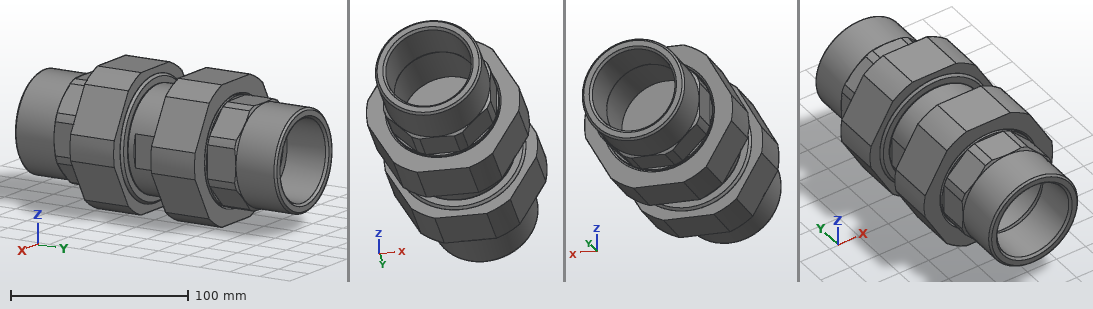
import cadquery as cq
import math

total_length = 174.0
nut_inner_y = 12.4
nut_outer_y = 41.5
nut_lip = 7.0
collar_length = 7.0
lip_y = nut_outer_y - nut_lip
joint_y = lip_y - collar_length

nut_flats = 82.8
nut_round_diameter = 88.0
nut_hole_diameter = 64.4
nut_hole_chamfer = 1.0
thread_diameter = 74.8

grip_diameter = 64.4
neck_diameter = 64.0
flats_width = 61.3
body_flat_start_y = -6.3
body_flat_end_y = 9.7
shoulder_y = 10.8
thread_chamfer = 1.4
body_neck_length = 0.5

spout_diameter = 61.0
spout_length = 26.5
spout_chamfer = 1.2
bevel_length = 0.9
collar_diameter = 72.2
bore_diameter = 49.0
bore_chamfer = 1.4
bore_depth = 27.0
wide_bore_diameter = 52.9
bore_taper_length = 3.8
nipple_neck_protrusion = 0.3

end_y = total_length / 2
spout_start_y = end_y - spout_length
octagon_start_y = nut_outer_y + nipple_neck_protrusion


def disc(diameter, from_y, to_y):
    """Cylinder along Y between two positions."""
    plane = cq.Workplane("XZ", origin=(0, to_y, 0))
    return plane.circle(diameter / 2).extrude(to_y - from_y)


def prism(sides, across_flats, from_y, to_y):
    """Regular prism along Y, with 6 or 8 sides and flats facing +Z and -Z."""
    corner_diameter = across_flats / math.cos(math.pi / sides)
    turn = 180 / sides if sides % 4 == 0 else 0
    return (
        cq.Workplane("XZ", origin=(0, to_y, 0))
        .polygon(sides, corner_diameter)
        .extrude(to_y - from_y)
        .rotate((0, 0, 0), (0, 1, 0), turn)
    )


def make_body():
    """Solid double-ended body with two threads and a pair of wrench flats."""
    grip_end_y = shoulder_y - body_neck_length
    body = disc(neck_diameter, -joint_y, joint_y).union(disc(grip_diameter, -grip_end_y, grip_end_y))
    thread = disc(thread_diameter, shoulder_y, joint_y).faces("<Y").chamfer(thread_chamfer)
    body = body.union(thread).union(thread.mirror("XZ"))
    flat_length = body_flat_end_y - body_flat_start_y
    flat_middle_y = (body_flat_start_y + body_flat_end_y) / 2
    cutter = cq.Workplane("XY").box(grip_diameter, flat_length, grip_diameter)
    for side in (-1, 1):
        flat_x = side * (flats_width + grip_diameter) / 2
        body = body.cut(cutter.translate((flat_x, flat_middle_y, 0)))
    return body


def make_nut():
    """Hexagon union nut on the +Y side."""
    nut = prism(6, nut_flats, nut_inner_y, nut_outer_y)
    nut = nut.intersect(disc(nut_round_diameter, nut_inner_y, nut_outer_y))
    nut = nut.cut(disc(nut_hole_diameter, nut_inner_y, nut_outer_y))
    hole_edge = cq.selectors.RadiusNthSelector(0)
    nut = nut.faces(">Y").edges("%CIRCLE").edges(hole_edge).chamfer(nut_hole_chamfer)
    nut = nut.cut(disc(thread_diameter, nut_inner_y, joint_y))
    return nut.cut(disc(collar_diameter, joint_y, lip_y))


def nipple_bore():
    """Stepped bore of the nipple on the +Y side, as a turned solid."""
    mouth_radius = bore_diameter / 2 + bore_chamfer
    taper_y = end_y - bore_depth
    return (
        cq.Workplane("XY")
        .moveTo(0, joint_y)
        .lineTo(wide_bore_diameter / 2, joint_y)
        .lineTo(wide_bore_diameter / 2, taper_y - bore_taper_length)
        .lineTo(bore_diameter / 2, taper_y)
        .lineTo(bore_diameter / 2, end_y - bore_chamfer)
        .lineTo(mouth_radius, end_y)
        .lineTo(0, end_y)
        .close()
        .revolve(360, (0, 0, 0), (0, 1, 0))
    )


def make_nipple():
    """Hollow nipple on the +Y side: collar, neck, octagon and round spout."""
    collar = disc(collar_diameter, joint_y, lip_y)
    neck = disc(neck_diameter, lip_y, octagon_start_y)
    octagon = prism(8, flats_width, octagon_start_y, spout_start_y)
    bevel_depth = (grip_diameter - spout_diameter) / 2
    rounding = disc(grip_diameter, octagon_start_y, spout_start_y)
    rounding = rounding.faces(">Y").chamfer(bevel_length, bevel_depth)
    spout = disc(spout_diameter, spout_start_y, end_y).faces(">Y").chamfer(spout_chamfer)
    nipple = collar.union(neck).union(octagon.intersect(rounding)).union(spout)
    return nipple.cut(nipple_bore())


body = make_body()
nuts = []
nipples = []
for turn in (0, 180):
    nuts.append(make_nut().rotate((0, 0, 0), (0, 0, 1), turn).val())
    nipples.append(make_nipple().rotate((0, 0, 0), (0, 0, 1), turn).val())

result = cq.Compound.makeCompound([body.val(), *nuts, *nipples])